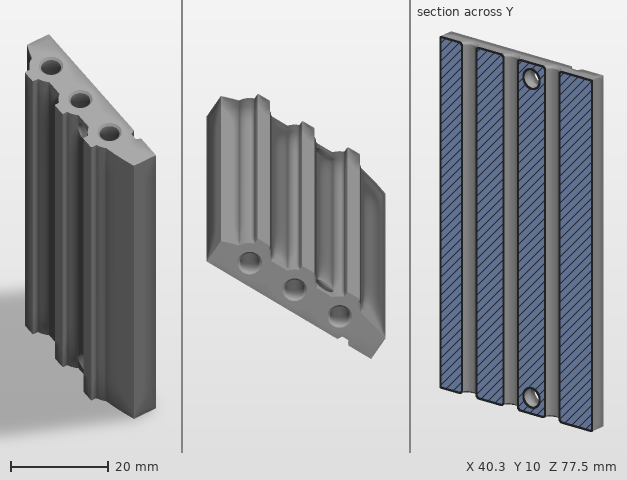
import cadquery as cq
import math

width = 40.3
length = 77.5
depth = 10.0
edge_y = 4.6
front_radius = 59.7

first_bore_x = 7.7
bore_pitch = 11.0
bore_y = 5.5
bore_diameter = 4.1
bore_chamfer = 0.5
wall_radius = 4.5
rib_width = 3.1
rib_tip_fillet = 0.2
rib_root_fillet = 0.19
rib_bottoms = [0.0, 0.15, 0.0]
bore_xs = [first_bore_x + i * bore_pitch for i in range(len(rib_bottoms))]
web_y = 2.7

notch_x = 33.4
notch_top_width = 2.8
notch_bottom_width = 1.6
notch_depth = 1.0

cross_diameter = 4.2
cross_x = (bore_xs[1] + bore_xs[2]) / 2
cross_end_distance = 3.6


def cylinder(x, y, radius):
    return cq.Workplane("XY").center(x, y).circle(radius).extrude(length)


def block(x_min, x_max, y_min, y_max):
    return (
        cq.Workplane("XY")
        .box(x_max - x_min, y_max - y_min, length, centered=False)
        .translate((x_min, y_min, 0))
    )


def make_plate():
    """Slab with a flat back and a shallow round front, hollowed to flat webs between the bores."""
    front_center_y = edge_y + math.sqrt(front_radius**2 - (width / 2) ** 2)
    plate = (
        cq.Workplane("XY")
        .moveTo(0, edge_y)
        .threePointArc((width / 2, front_center_y - front_radius), (width, edge_y))
        .lineTo(width, depth)
        .lineTo(0, depth)
        .close()
        .extrude(length)
    )
    return plate.cut(block(bore_xs[0], bore_xs[-1], 0, web_y))


def make_ribbed_wall(x, bottom):
    """Round wall about one bore, with a rib rounded at its tip and at its root."""
    half = rib_width / 2
    rib = block(x - half, x + half, bottom, bore_y).edges("|Z and <Y").fillet(rib_tip_fillet)
    root_y = bore_y - math.sqrt(wall_radius**2 - half**2)
    root_edges = cq.selectors.BoxSelector(
        (x - rib_width, root_y - rib_root_fillet, 0), (x + rib_width, root_y + rib_root_fillet, length)
    )
    wall = cylinder(x, bore_y, wall_radius).union(rib)
    return wall.edges("|Z").edges(root_edges).fillet(rib_root_fillet)


def make_bore(x):
    """Bore along the full length, countersunk at both ends."""
    bore = cylinder(x, bore_y, bore_diameter / 2)
    countersink = cq.Solid.makeCone(
        bore_diameter / 2 + bore_chamfer, bore_diameter / 2, bore_chamfer, cq.Vector(x, bore_y, 0)
    )
    mouth = cq.Workplane(countersink)
    return bore.union(mouth).union(mouth.mirror("XY", (0, 0, length / 2)))


def make_notch():
    """Tapered groove along the back face."""
    top = notch_top_width / 2
    bottom = notch_bottom_width / 2
    points = [(-top, 0), (-bottom, -notch_depth), (bottom, -notch_depth), (top, 0)]
    return cq.Workplane("XY").center(notch_x, depth).polyline(points).close().extrude(length)


def make_cross_hole(z):
    return cq.Workplane("XZ").center(cross_x, z).circle(cross_diameter / 2).extrude(-depth)


result = make_plate()
for x, bottom in zip(bore_xs, rib_bottoms):
    result = result.union(make_ribbed_wall(x, bottom))
for x in bore_xs:
    result = result.cut(make_bore(x))
result = result.cut(make_notch())
for z in (cross_end_distance, length - cross_end_distance):
    result = result.cut(make_cross_hole(z))